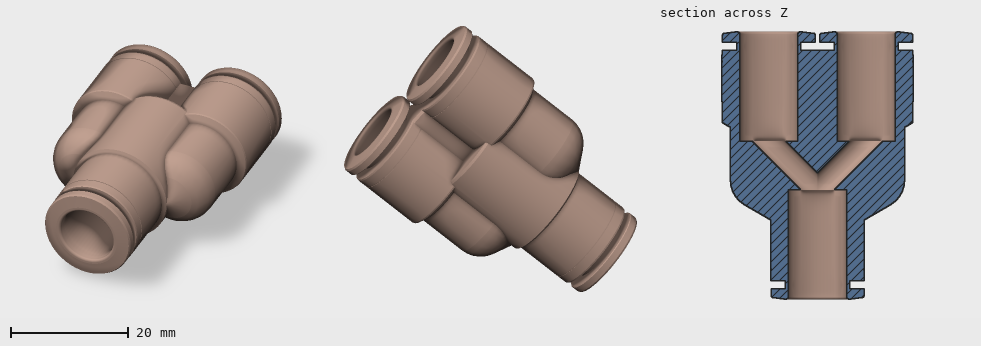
import cadquery as cq
import math

length = 45.4
port_spacing = 16.5
port_offset = port_spacing / 2

collar_radius = 7.95
collar_depth = 1.85
collar_face_radius = 7.75
collar_face_drop = 0.25
collar_rim_depth = 0.6
collar_back_chamfer = 0.15
neck_radius = 5.5
mouth_flat_radius = 5.65

bore_radius = 4.9
bore_lip_rounding = 0.4

body_radius = 8.0
body_start = 3.1
body_edge_width = 0.25
body_edge_drop = 0.1
seam_depth = 5.0
seam_width = 0.2
seam_drop = 0.1

taper = math.radians(30)

leg_shoulder_depth = 15.5
leg_bevel_depth = leg_shoulder_depth - body_edge_width
leg_radius = 6.6
leg_straight_end = 25.1
nose_arc_radius = 5.0

trunk_diameter = 17.4
trunk_radius = trunk_diameter / 2
trunk_back_depth = 14.3
trunk_edge_length = 0.45
trunk_edge_drop = 0.2
trunk_front_depth = 13.45

web_half_height = 4.05
web_edge = 0.45

channel_radius = 2.0
bore_depth = (length - port_offset) / 2

mouth_y = length / 2


def revolve_about_y(sketch):
    """Close an outline of (radius, y) and revolve it about the Y axis."""
    return sketch.close().revolve(360, (0, 0, 0), (0, 1, 0))


def revolve_depths(points):
    """Revolve (radius, depth) points, with depth running in -Y from the +Y mouth."""
    return revolve_about_y(cq.Workplane("XY").polyline([(r, mouth_y - d) for r, d in points]))


def port_head(end_depth):
    """Collar, neck and cylindrical body of a port, down to end_depth."""
    return revolve_depths([
        (0, 0),
        (mouth_flat_radius, 0),
        (collar_face_radius, collar_face_drop),
        (collar_radius, collar_rim_depth),
        (collar_radius, collar_depth - collar_back_chamfer),
        (collar_radius - collar_back_chamfer, collar_depth),
        (neck_radius, collar_depth),
        (neck_radius, body_start),
        (body_radius - body_edge_drop, body_start),
        (body_radius, body_start + body_edge_width),
        (body_radius, seam_depth),
        (body_radius - seam_drop, seam_depth),
        (body_radius - seam_drop, seam_depth + seam_width),
        (body_radius, seam_depth + seam_width),
        (body_radius, end_depth),
        (0, end_depth),
    ])


def leg():
    """Bevelled body edge, conical shoulder, straight leg and rounded, pointed nose."""
    shoulder_radius = body_radius - body_edge_drop
    shoulder_end = leg_shoulder_depth + (shoulder_radius - leg_radius) * math.tan(taper)
    arc_centre = leg_radius - nose_arc_radius

    def arc_point(angle):
        return (arc_centre + nose_arc_radius * math.cos(angle),
                mouth_y - leg_straight_end - nose_arc_radius * math.sin(angle))

    arc_sweep = math.pi / 2 - taper
    cone_radius, cone_y = arc_point(arc_sweep)
    outline = (
        cq.Workplane("XY")
        .moveTo(0, mouth_y - leg_bevel_depth)
        .lineTo(body_radius, mouth_y - leg_bevel_depth)
        .lineTo(shoulder_radius, mouth_y - leg_shoulder_depth)
        .lineTo(leg_radius, mouth_y - shoulder_end)
        .lineTo(leg_radius, mouth_y - leg_straight_end)
        .threePointArc(arc_point(arc_sweep / 2), (cone_radius, cone_y))
        .lineTo(0, cone_y - cone_radius * math.tan(taper))
    )
    return revolve_about_y(outline)


def trunk():
    """Central cylinder with a broken back edge and a conical front shoulder."""
    front = length - trunk_front_depth
    shoulder = (trunk_radius - body_radius) * math.tan(taper)
    return revolve_depths([
        (0, trunk_back_depth),
        (trunk_radius - trunk_edge_drop, trunk_back_depth),
        (trunk_radius, trunk_back_depth + trunk_edge_length),
        (trunk_radius, front - shoulder),
        (body_radius, front),
        (0, front),
    ])


def web():
    """Flat web between the port axes, chamfered along its back edges."""
    web_length = trunk_back_depth + trunk_edge_length - body_start
    return (
        cq.Workplane("XY")
        .box(port_offset, web_length, 2 * web_half_height)
        .edges(">Y and |X")
        .chamfer(web_edge)
        .translate((0, mouth_y - body_start - web_length / 2, 0))
    )


def bore():
    """Tube bore with a rounded lip and a flat end."""
    lip_radius = bore_radius + bore_lip_rounding
    diagonal = bore_lip_rounding * math.sqrt(0.5)
    outline = (
        cq.Workplane("XY")
        .moveTo(0, mouth_y)
        .lineTo(lip_radius, mouth_y)
        .threePointArc(
            (lip_radius - diagonal, mouth_y - bore_lip_rounding + diagonal),
            (bore_radius, mouth_y - bore_lip_rounding),
        )
        .lineTo(bore_radius, mouth_y - bore_depth)
        .lineTo(0, mouth_y - bore_depth)
    )
    return revolve_about_y(outline)


def channel(side):
    """Slanted channel from the -Y bore to the +Y bore on the given side."""
    direction = cq.Vector(side, 1, 0).normalized()
    front_end_y = bore_depth - mouth_y
    start = cq.Vector(0, front_end_y, 0) - direction * channel_radius
    run = port_offset * math.sqrt(2) + 2 * channel_radius
    cylinder = cq.Workplane(cq.Solid.makeCylinder(channel_radius, run, start, direction))
    own_side = cq.Workplane("XY").box(length, length, length).translate(
        (side * length / 2, front_end_y + length / 2, 0)
    )
    return cylinder.intersect(own_side)


front_port = port_head(trunk_front_depth).mirror("XZ")
result = trunk().union(web()).union(front_port)
for side in (-1, 1):
    branch = port_head(leg_bevel_depth).union(leg())
    result = result.union(branch.translate((side * port_offset, 0, 0)))

result = result.cut(bore().mirror("XZ"))
for side in (-1, 1):
    result = result.cut(bore().translate((side * port_offset, 0, 0)))
    result = result.cut(channel(side))